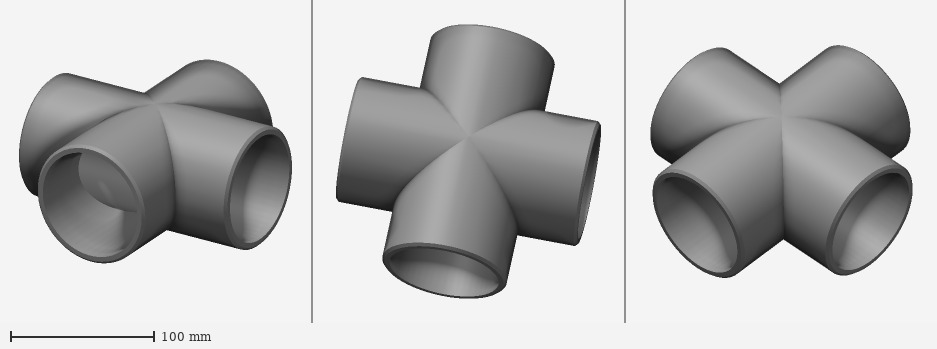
import cadquery as cq

span = 172.0
outer_diameter = 89.0
bore_diameter = 78.1
rim_chamfer = 1.9


def centred_rod(plane, diameter):
    """Solid cylinder of the full span, centred on the origin along the plane's normal."""
    return cq.Workplane(plane).circle(diameter / 2).extrude(span / 2, both=True)


def pipe_body(plane):
    """Solid pipe with both outer rims chamfered."""
    end_faces = "|X" if plane == "YZ" else "|Y"
    return centred_rod(plane, outer_diameter).faces(end_faces).edges().chamfer(rim_chamfer)


body = pipe_body("YZ").union(pipe_body("XZ"))

bores = centred_rod("YZ", bore_diameter).union(centred_rod("XZ", bore_diameter))

result = body.cut(bores)